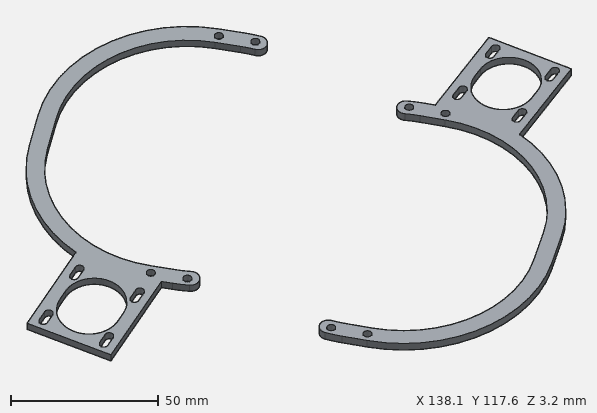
import cadquery as cq
import math

thickness = 3.2

hook_centre = (-11.3, 14.6)
hook_tilt = -30
band_width = 6.3
bend_radius = 48.7
base_half_length = 6.9
lower_bend_y = 0.8
side_length = 8.8
tip_bend_angle = 6.6

hole_diameter = 3.0
lower_hole_y = 1.5
hole_spacing = 12.7

plate_centre = (46.0, -35.7)
plate_tilt = -45
plate_width = 32.0
plate_outer_reach = 17.0
plate_inner_reach = 22.8

travel = 4.0
opening_width = 22.1
slot_width = 3.0
slot_spacing = 23.0

side_x = base_half_length + bend_radius


def place(solid, centre, tilt):
    """Tilt a solid about Z, then move its origin to centre."""
    return solid.rotate((0, 0, 0), (0, 0, 1), tilt).translate((*centre, 0))


def bend_point(radius, centre_y, angle):
    """Point on the right-hand bend, at an angle from the hook's X axis."""
    turn = math.radians(angle)
    return (base_half_length + radius * math.cos(turn), centre_y + radius * math.sin(turn))


def mirrored(point):
    return (-point[0], point[1])


def make_hook():
    outer = bend_radius + band_width / 2
    inner = bend_radius - band_width / 2
    upper_bend_y = lower_bend_y + side_length

    def side_points(radius):
        """Tip, upper bend middle, side top, side bottom, lower bend middle, base end."""
        return [
            bend_point(radius, upper_bend_y, tip_bend_angle),
            bend_point(radius, upper_bend_y, tip_bend_angle / 2),
            bend_point(radius, upper_bend_y, 0),
            bend_point(radius, lower_bend_y, 0),
            bend_point(radius, lower_bend_y, -45),
            bend_point(radius, lower_bend_y, -90),
        ]

    def trace(path, radius, first_side):
        """Draw one edge of the band from the tip on first_side to the opposite tip."""
        tip, tip_middle, side_top, side_bottom, bend_middle, base_end = side_points(radius)
        points = [tip_middle, side_top, side_bottom, bend_middle, base_end]
        near = points if first_side > 0 else [mirrored(point) for point in points]
        far = [mirrored(point) for point in near]
        far_tip = mirrored(tip) if first_side > 0 else tip
        return (
            path.threePointArc(near[0], near[1])
            .lineTo(*near[2])
            .threePointArc(near[3], near[4])
            .lineTo(*far[4])
            .threePointArc(far[3], far[2])
            .lineTo(*far[1])
            .threePointArc(far[0], far_tip)
        )

    tip_x, tip_y = bend_point(bend_radius, upper_bend_y, tip_bend_angle)
    turn = math.radians(tip_bend_angle)
    tip_top = (
        tip_x - band_width / 2 * math.sin(turn),
        tip_y + band_width / 2 * math.cos(turn),
    )

    outer_tip = side_points(outer)[0]
    inner_tip = side_points(inner)[0]
    path = trace(cq.Workplane("XY").moveTo(*outer_tip), outer, 1)
    path = path.threePointArc(mirrored(tip_top), mirrored(inner_tip))
    path = trace(path, inner, -1)
    path = path.threePointArc(tip_top, outer_tip)
    return place(path.close().extrude(thickness), hook_centre, hook_tilt)


def make_hook_holes():
    points = [
        (x, y)
        for x in (-side_x, side_x)
        for y in (lower_hole_y, lower_hole_y + hole_spacing)
    ]
    holes = cq.Workplane("XY").pushPoints(points).circle(hole_diameter / 2).extrude(thickness)
    return place(holes, hook_centre, hook_tilt)


def make_plate():
    length = plate_inner_reach + plate_outer_reach
    plate = (
        cq.Workplane("XY")
        .center((plate_outer_reach - plate_inner_reach) / 2, 0)
        .rect(length, plate_width)
        .extrude(thickness)
    )
    return place(plate, plate_centre, plate_tilt)


def make_plate_openings():
    opening = cq.Workplane("XY").slot2D(opening_width + travel, opening_width).extrude(thickness)
    slots = (
        cq.Workplane("XY")
        .rarray(slot_spacing, slot_spacing, 2, 2)
        .slot2D(slot_width + travel, slot_width)
        .extrude(thickness)
    )
    return place(opening.union(slots), plate_centre, plate_tilt)


result = make_hook().union(make_plate()).cut(make_hook_holes()).cut(make_plate_openings())